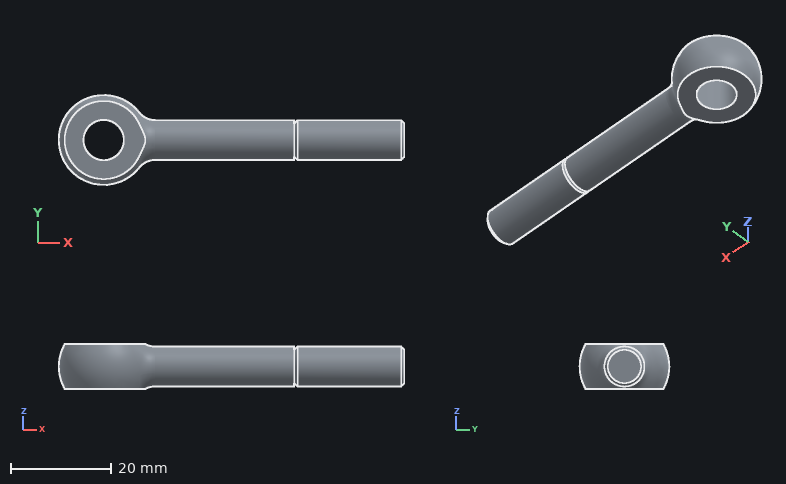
import math

import cadquery as cq

ball_radius = 9.0
eye_thickness = 9.0
bore_diameter = 8.0

shank_radius = 4.0
shank_end_x = 60.0
thread_length = 22.0
thread_minor_diameter = 6.647
neck_fillet_radius = 4.0

fillet_center_y = shank_radius + neck_fillet_radius
fillet_center_distance = ball_radius + neck_fillet_radius
neck_end_x = math.sqrt(fillet_center_distance**2 - fillet_center_y**2)
neck_angle = math.atan2(fillet_center_y, neck_end_x)
thread_start_x = shank_end_x - thread_length

thread_chamfer = shank_radius - thread_minor_diameter / 2


def point_on_ball(angle):
    return (ball_radius * math.cos(angle), ball_radius * math.sin(angle))


def point_on_neck_fillet(angle):
    """Point on the fillet arc, with the angle measured about its centre."""
    return (
        neck_end_x + neck_fillet_radius * math.cos(angle),
        fillet_center_y + neck_fillet_radius * math.sin(angle),
    )


def make_turned_body():
    """Ball, neck and shank as one profile revolved about the X axis."""
    ball_mid_angle = (math.pi + neck_angle) / 2
    fillet_mid_angle = (math.pi + neck_angle + 1.5 * math.pi) / 2
    profile = (
        cq.Workplane("XY")
        .moveTo(-ball_radius, 0)
        .threePointArc(point_on_ball(ball_mid_angle), point_on_ball(neck_angle))
        .threePointArc(point_on_neck_fillet(fillet_mid_angle), (neck_end_x, shank_radius))
        .lineTo(thread_start_x, shank_radius)
        .lineTo(thread_start_x, shank_radius - thread_chamfer)
        .lineTo(thread_start_x + thread_chamfer, shank_radius)
        .lineTo(shank_end_x - thread_chamfer, shank_radius)
        .lineTo(shank_end_x, shank_radius - thread_chamfer)
        .lineTo(shank_end_x, 0)
        .close()
    )
    return profile.revolve(360, (0, 0, 0), (1, 0, 0))


def make_flat_slab():
    """Slab between the two flat faces of the eye, larger than the body in X and Y."""
    slab_size = 2 * (shank_end_x + ball_radius)
    return cq.Workplane("XY").box(slab_size, slab_size, eye_thickness)


def make_bore():
    """Cylinder through the full thickness of the eye."""
    return cq.Workplane("XY").cylinder(eye_thickness, bore_diameter / 2)


result = make_turned_body().intersect(make_flat_slab()).cut(make_bore())